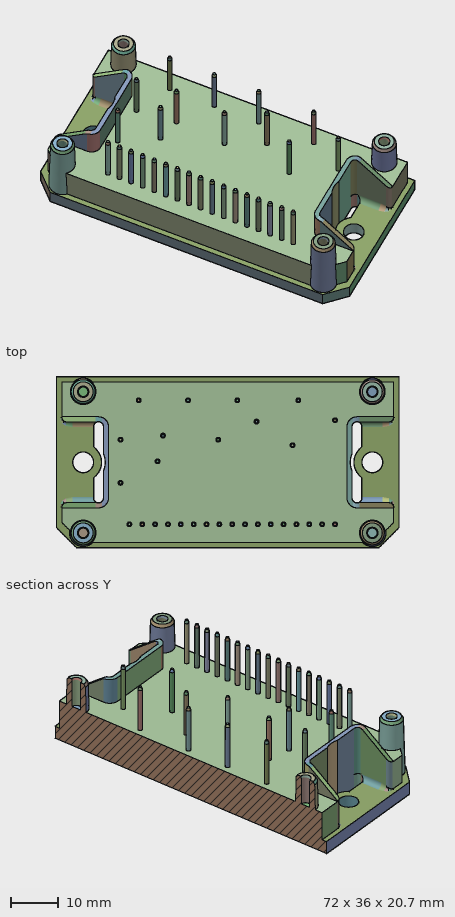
import cadquery as cq
import math

length = 72.0
width = 36.0
plate_height = 3.1
corner_cut = 4.25

edge_margin = 1.15
housing_top = 9.9
housing_corner_cut = 4.2
housing_end = length / 2 - edge_margin
housing_side = width / 2 - edge_margin

wall_thickness = 1.1
wall_top = 15.9
bay_back = 26.1
bay_half_width = 8.5
bay_corner_radius = 1.0
mouth_radius = 0.9
wall_back = bay_back - wall_thickness
wall_half_width = bay_half_width + wall_thickness
ramp_start = 27.15
ramp_foot_height = 10.1
ramp_blend_radius = 2.15
base_fillet_radius = 1.15
base_fillet_end_radius = 0.15
base_fillet_taper_start = 32.6
base_fillet_steps = 3

hole_x = 30.4
hole_diameter = 4.3
lug_radius = 3.9
relief_radius = 4.6
slot_width = 2.0
slot_outer = bay_back + slot_width
slot_corner_radius = 0.9

post_x = hole_x
post_y = 14.8
post_top = 16.85
post_shoulder = 16.2
post_foot_diameter = 5.75
post_shoulder_diameter = 5.05
post_face_diameter = 4.2
screw_hole_diameter = 2.0
screw_mouth_diameter = 2.4
screw_mouth_depth = 0.6

pin_diameter = 1.0
pin_tip_diameter = 0.6
pin_top = 20.7
pin_tip_height = 0.65
pin_row_y = -13.0
pin_row_first = -20.7
pin_row_last = 22.5
pin_row_count = 17
upper_pins = [
    (-18.7, 13.0), (-8.35, 13.0), (2.0, 13.0), (14.8, 13.0),
    (22.5, 8.85), (6.05, 8.6), (-13.6, 5.6), (-22.5, 4.75),
    (-2.0, 4.75), (13.6, 3.6), (-14.75, 0.2), (-22.5, -4.3),
]

overlap = 0.15


def block(x_min, x_max, half_width, bottom, top):
    """Box between two X positions, centred on Y."""
    return (
        cq.Workplane("XY", origin=((x_min + x_max) / 2, 0, bottom))
        .rect(x_max - x_min, 2 * half_width)
        .extrude(top - bottom)
    )


def slab(half_length, half_width, cut, bottom, top):
    """Rectangular slab with its two -Y corners cut at 45 degrees."""
    return (
        block(-half_length, half_length, half_width, bottom, top)
        .edges("|Z and <Y")
        .chamfer(cut)
    )


def disc(radius, bottom, top):
    """Cylinder around the left mounting hole."""
    return cq.Workplane("XY", origin=(-hole_x, 0, bottom)).circle(radius).extrude(top - bottom)


def turned(profile, x, y):
    """Solid of revolution around a vertical axis, from (radius, height) points."""
    return (
        cq.Workplane("XZ")
        .polyline(profile)
        .close()
        .revolve(360, (0, 0, 0), (0, 1, 0))
        .translate((x, y, 0))
    )


def raised_wall():
    """U-shaped wall envelope of the left bay, sloping down to the housing end."""
    plan = (
        block(-housing_end, -wall_back, wall_half_width, plate_height, wall_top)
        .edges("|Z and >X")
        .fillet(bay_corner_radius + wall_thickness)
    )
    side = (
        cq.Workplane("XZ", origin=(0, wall_half_width, 0))
        .polyline([
            (-housing_end, plate_height),
            (-wall_back, plate_height),
            (-wall_back, wall_top),
            (-ramp_start, wall_top),
            (-housing_end, ramp_foot_height),
        ])
        .close()
        .extrude(2 * wall_half_width)
    )
    crest = cq.selectors.NearestToPointSelector((-ramp_start, 0, wall_top))
    return plan.intersect(side.edges(crest).fillet(ramp_blend_radius))


def bay_space():
    """Open space of the left bay, with its mouth edges rounded outward."""
    space = (
        block(-length / 2, -bay_back, bay_half_width, plate_height, wall_top)
        .edges("|Z and >X")
        .fillet(bay_corner_radius)
    )
    mouth = block(-length / 2, -housing_end + mouth_radius, bay_half_width + mouth_radius,
                  plate_height, wall_top)
    for side in (1, -1):
        rounding = (
            cq.Workplane("XY", origin=(-housing_end + mouth_radius,
                                       side * (bay_half_width + mouth_radius), plate_height))
            .circle(mouth_radius)
            .extrude(wall_top - plate_height)
        )
        mouth = mouth.cut(rounding)
    return space.union(mouth)


def fillet_section(x, y, angle, radius):
    """Concave fillet section at a wall foot point, facing outward at an angle."""
    outward = (math.cos(angle), math.sin(angle), 0)
    tangent = (math.sin(angle), -math.cos(angle), 0)
    plane = cq.Plane(origin=(x, y, plate_height), xDir=outward, normal=tangent)
    arc_middle = radius * (1 - math.sqrt(0.5))
    return (
        cq.Workplane(plane)
        .moveTo(-overlap, -overlap)
        .lineTo(radius, -overlap)
        .lineTo(radius, 0)
        .threePointArc((arc_middle, arc_middle), (0, radius))
        .lineTo(-overlap, radius)
        .close()
        .wires()
        .val()
    )


def base_fillet():
    """Fillet at the foot of the +Y bay side, fading out around the mouth corner."""
    center_x = -housing_end + mouth_radius
    center_y = bay_half_width + mouth_radius
    sections = [
        fillet_section(x, bay_half_width, -math.pi / 2, base_fillet_radius)
        for x in (-slot_outer + slot_width / 2, -base_fillet_taper_start)
    ]
    for step in range(base_fillet_steps + 1):
        angle = math.radians(-90 - 90 * step / base_fillet_steps)
        fade = (step + 1) / (base_fillet_steps + 1)
        radius = base_fillet_radius + (base_fillet_end_radius - base_fillet_radius) * fade
        x = center_x + mouth_radius * math.cos(angle)
        y = center_y + mouth_radius * math.sin(angle)
        sections.append(fillet_section(x, y, angle, radius))
    return cq.Workplane(cq.Solid.makeLoft(sections, True))


def relief_slot():
    """Slot between the left lug and the bay wall, through the plate and into the wall."""
    slot = (
        block(-slot_outer, -bay_back, bay_half_width, 0, plate_height + base_fillet_radius)
        .edges("|Z")
        .fillet(slot_corner_radius)
    )
    relief = disc(relief_radius, 0, wall_top).intersect(
        block(-bay_back - overlap, -wall_back, bay_half_width, 0, wall_top)
    )
    flank_reach = lug_radius * math.sqrt(2)
    tangent_point = lug_radius * math.sqrt(0.5)
    flanks = (
        cq.Workplane("XY", origin=(-hole_x, 0, 0))
        .polyline([
            (0, -flank_reach),
            (tangent_point, -tangent_point),
            (tangent_point, tangent_point),
            (0, flank_reach),
        ])
        .close()
        .extrude(wall_top)
    )
    lug = disc(lug_radius, 0, wall_top).union(flanks)
    return slot.union(relief).cut(lug)


def post(x, y):
    """Tapered post with a chamfered top."""
    return turned([
        (0, plate_height),
        (post_foot_diameter / 2, plate_height),
        (post_shoulder_diameter / 2, post_shoulder),
        (post_face_diameter / 2, post_top),
        (0, post_top),
    ], x, y)


def screw_hole(x, y):
    """Blind screw hole with a conical mouth, as deep as the post above the housing."""
    return turned([
        (0, housing_top),
        (screw_hole_diameter / 2, housing_top),
        (screw_hole_diameter / 2, post_top - screw_mouth_depth),
        (screw_mouth_diameter / 2, post_top),
        (0, post_top),
    ], x, y)


def pin(x, y):
    """Contact pin with a conical tip, standing on the housing."""
    return turned([
        (0, housing_top - overlap),
        (pin_diameter / 2, housing_top - overlap),
        (pin_diameter / 2, pin_top - pin_tip_height),
        (pin_tip_diameter / 2, pin_top),
        (0, pin_top),
    ], x, y)


body = slab(length / 2, width / 2, corner_cut, 0, plate_height)
body = body.union(
    slab(housing_end, housing_side, housing_corner_cut, plate_height, housing_top)
)

walls = raised_wall()
opening = bay_space()
fillets = base_fillet()
fillets = fillets.union(fillets.mirror("XZ"))
through_cut = relief_slot().union(disc(hole_diameter / 2, 0, plate_height))
body = body.union(walls).union(walls.mirror("YZ"))
body = body.cut(opening).cut(opening.mirror("YZ"))
body = body.union(fillets).union(fillets.mirror("YZ"))
body = body.cut(through_cut).cut(through_cut.mirror("YZ"))

for x in (-post_x, post_x):
    for y in (-post_y, post_y):
        body = body.union(post(x, y)).cut(screw_hole(x, y))

pin_pitch = (pin_row_last - pin_row_first) / (pin_row_count - 1)
row_pins = [(pin_row_first + i * pin_pitch, pin_row_y) for i in range(pin_row_count)]
for x, y in row_pins + upper_pins:
    body = body.union(pin(x, y))

result = body